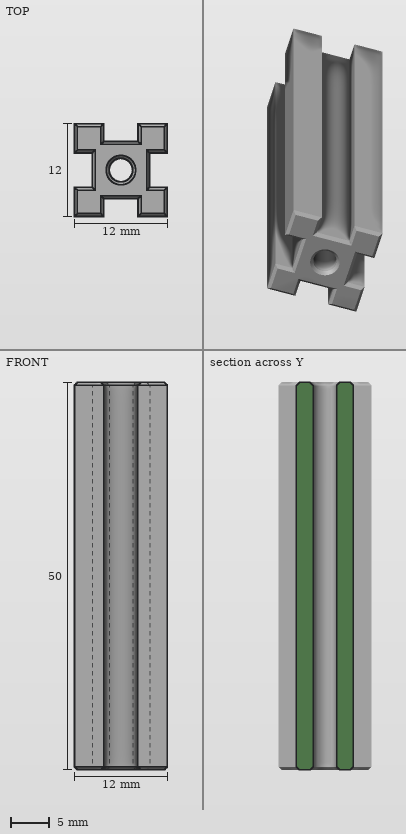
import cadquery as cq

width = 12.0
length = 50.0
slot_width = 4.4
slot_depth = 2.3
hole_diameter = 3.0
edge_chamfer = 0.4


def side_slot(angle):
    """Full-length rectangular slot in the side facing the given angle about Z."""
    slot = cq.Workplane("XY").box(slot_depth, slot_width, length)
    slot = slot.translate((width / 2 - slot_depth / 2, 0, 0))
    return slot.rotate((0, 0, 0), (0, 0, 1), angle)


bar = cq.Workplane("XY").box(width, width, length)
for angle in (0, 90, 180, 270):
    bar = bar.cut(side_slot(angle))

bar = bar.faces(">Z").workplane().hole(hole_diameter)

result = bar.faces("<Z or >Z").edges().chamfer(edge_chamfer)